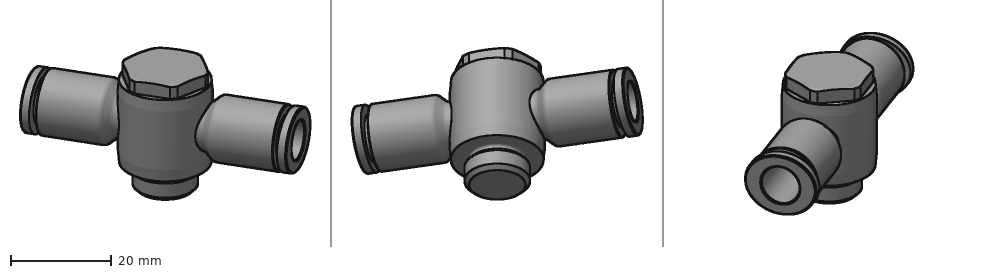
import cadquery as cq
import math

overall_length = 56.2
overall_height = 27.0

body_radius = 9.5
body_end_radius = 9.3
body_bottom = 5.95
body_top = 24.1
body_taper_height = 2.55
arm_height = (body_bottom + body_top) / 2

head_across_flats = 16.0
head_corner_radius = 8.8
head_face_radius = 7.9
head_bevel_height = 0.2

stem_radius = 6.6
stem_chamfer = 0.95
stem_shoulder = 4.1
undercut_radius = 5.6
undercut_flare = 0.5

sleeve_radius = 6.85
sleeve_outer_end = 25.0
sleeve_edge = 0.15
cone_outer_end = 11.5
cone_inner_end = 9.5
arm_neck_radius = 5.05
cone_blend = 1.0
release_neck_radius = 4.85

collar_width = 15.2
collar_height = 13.15
collar_thickness = 1.95
collar_edge = 0.2

socket_radius = 4.05
socket_chamfer = 0.2
socket_depth = 16.85


def make_body():
    """Cylinder whose two ends taper in slightly."""
    profile = [
        (0, body_bottom),
        (body_end_radius, body_bottom),
        (body_radius, body_bottom + body_taper_height),
        (body_radius, body_top - body_taper_height),
        (body_end_radius, body_top),
        (0, body_top),
    ]
    return cq.Workplane("XZ").polyline(profile).close().revolve(360, (0, 0), (0, 1))


def make_head():
    """Hexagon with its corners turned round and a shallow conical bevel on top."""
    hexagon = (
        cq.Workplane("XY", origin=(0, 0, body_top))
        .polygon(6, head_across_flats / math.cos(math.pi / 6))
        .extrude(overall_height - body_top)
    )
    envelope = [
        (0, body_top),
        (head_corner_radius, body_top),
        (head_corner_radius, overall_height - head_bevel_height),
        (head_face_radius, overall_height),
        (0, overall_height),
    ]
    turned = cq.Workplane("XZ").polyline(envelope).close().revolve(360, (0, 0), (0, 1))
    return hexagon.intersect(turned)


def make_stem():
    """Stem with a chamfered foot, a conical shoulder and a flared undercut."""
    shoulder_rise = stem_radius - undercut_radius
    profile = (
        cq.Workplane("XZ")
        .lineTo(stem_radius - stem_chamfer, 0)
        .lineTo(stem_radius, stem_chamfer)
        .lineTo(stem_radius, stem_shoulder)
        .lineTo(undercut_radius, stem_shoulder + shoulder_rise)
        .lineTo(undercut_radius, body_bottom - undercut_flare)
        .radiusArc((undercut_radius + undercut_flare, body_bottom), undercut_flare)
        .lineTo(0, body_bottom)
        .close()
    )
    return profile.revolve(360, (0, 0), (0, 1))


def make_right_arm():
    """Arm on the +X side, from the stem axis out to the release collar."""
    collar_inner_face = overall_length / 2 - collar_thickness
    sleeve_profile = [
        (0, 0),
        (0, arm_neck_radius),
        (cone_inner_end, arm_neck_radius),
        (cone_outer_end, sleeve_radius),
        (sleeve_outer_end, sleeve_radius),
        (sleeve_outer_end, 0),
    ]
    sleeve = cq.Workplane("XZ").polyline(sleeve_profile).close().revolve(360, (0, 0), (1, 0))
    cone_edges = cq.selectors.BoxSelector(
        (cone_inner_end / 2, -sleeve_radius, -sleeve_radius),
        ((cone_outer_end + sleeve_outer_end) / 2, sleeve_radius, sleeve_radius),
    )
    sleeve = sleeve.edges("%CIRCLE").edges(cone_edges).fillet(cone_blend)
    sleeve = sleeve.faces(">X").edges().chamfer(sleeve_edge)

    release_neck = (
        cq.Workplane("YZ", origin=(sleeve_outer_end, 0, 0))
        .circle(release_neck_radius)
        .extrude(collar_inner_face - sleeve_outer_end)
    )
    collar = (
        cq.Workplane("YZ", origin=(collar_inner_face, 0, 0))
        .ellipse(collar_width / 2, collar_height / 2)
        .extrude(collar_thickness)
        .faces(">X")
        .edges()
        .chamfer(collar_edge)
    )
    return sleeve.union(release_neck).union(collar).translate((0, 0, arm_height))


def make_right_socket():
    """Blind tube socket of the +X arm, with a chamfered mouth."""
    mouth = overall_length / 2
    profile = [
        (mouth - socket_depth, 0),
        (mouth - socket_depth, socket_radius),
        (mouth - socket_chamfer, socket_radius),
        (mouth, socket_radius + socket_chamfer),
        (mouth, 0),
    ]
    socket = cq.Workplane("XZ").polyline(profile).close().revolve(360, (0, 0), (1, 0))
    return socket.translate((0, 0, arm_height))


result = make_body().union(make_head()).union(make_stem())
right_arm = make_right_arm()
right_socket = make_right_socket()
for side_angle in (0, 180):
    arm = right_arm.rotate((0, 0, 0), (0, 0, 1), side_angle)
    socket = right_socket.rotate((0, 0, 0), (0, 0, 1), side_angle)
    result = result.union(arm).cut(socket)